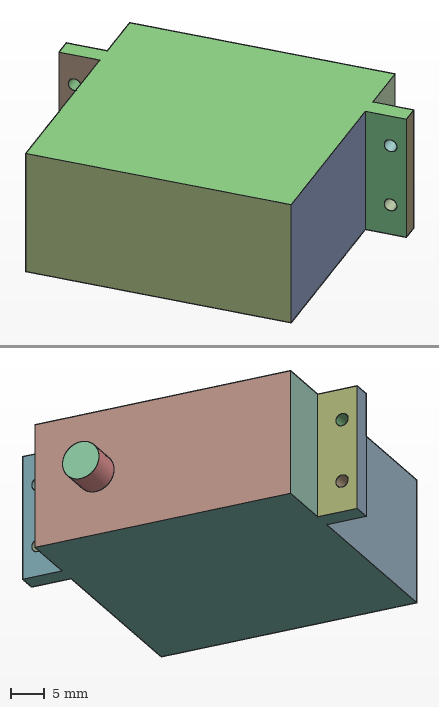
import cadquery as cq

body_width = 42.0
body_depth = 42.0
height = 20.0

ear_span = 55.0
ear_thickness = 3.0
ear_setback = 9.0

hole_diameter = 2.0
hole_spacing_x = 50.0
hole_spacing_z = 10.0

shaft_diameter = 6.0
shaft_length = 5.0
shaft_offset_x = 11.0

shaft_face_y = body_depth / 2
ear_back_y = shaft_face_y - ear_setback


def plane_facing_front(y):
    """XZ work plane at the given Y; extrusion runs toward -Y."""
    return cq.Workplane("XZ", origin=(0, y, 0))


def make_ears():
    plate = plane_facing_front(ear_back_y).rect(ear_span, height).extrude(ear_thickness)
    holes = (
        plane_facing_front(ear_back_y)
        .rect(hole_spacing_x, hole_spacing_z, forConstruction=True)
        .vertices()
        .circle(hole_diameter / 2)
        .extrude(ear_thickness)
    )
    return plate.cut(holes)


def make_shaft():
    return (
        plane_facing_front(shaft_face_y)
        .center(shaft_offset_x, 0)
        .circle(shaft_diameter / 2)
        .extrude(-shaft_length)
    )


body = cq.Workplane("XY").box(body_width, body_depth, height)
result = body.union(make_ears()).union(make_shaft())